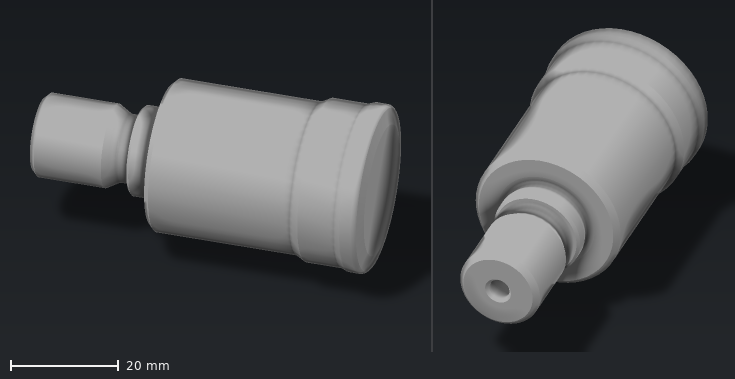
import cadquery as cq
import math

shank_end = 14.0
neck_end = 18.0
collar_end = 21.7
relief_start = 22.75
relief_bend = 23.5
body_start = 23.9
body_end = 52.2
sleeve_start = 54.05
sleeve_end = 60.95
rim_start = 62.3
rim_round_start = 64.2
cap_start = 65.3
overall_length = 66.0

shank_radius = 16.0 / 2
neck_radius = 13.0 / 2
collar_radius = 17.2 / 2
relief_radius = 16.6 / 2
relief_mouth_radius = 9.7
body_radius = 29.0 / 2
sleeve_radius = 31.0 / 2
rim_radius = 32.0 / 2
cap_radius = 15.45
end_face_radius = 12.4

end_chamfer = 1.05
collar_chamfer = 0.5
neck_round = 0.9
relief_round = 0.5
neck_blend = 0.7
relief_blend = 0.45
rim_blend = 0.5
rim_round_mid = (64.9, 15.85)

taper_angle = math.radians(30)
neck_start = shank_end + (shank_radius - neck_radius) / math.tan(taper_angle)

collar_start = neck_end + neck_round

relief_bottom = relief_bend + relief_round

hole_radius = 4.0 / 2
hole_mouth_radius = 2.6
hole_mouth_depth = 0.65
hole_depth = 3.3
hole_tip_depth = 1.2


def quarter_round_mid(start_x, start_radius, size):
    """Midpoint of a concave round that turns from axial to radially outward."""
    along = size * math.sin(math.radians(45))
    return (start_x + along, start_radius + size - along)


def revolve_about_x(outline):
    return outline.close().revolve(360, (0, 0, 0), (1, 0, 0))


def blend_edge(body, x, radius, size):
    """Round the circular edge lying at the given station and radius."""
    reach = 0.005
    edge = cq.selectors.BoxSelector(
        (x - reach, -radius - 0.65, -radius - 0.65),
        (x + reach, radius + 0.65, radius + 0.65),
        boundingbox=True,
    )
    return body.edges(edge).fillet(size)


outline = (
    cq.Workplane("XY")
    .lineTo(0, shank_radius - end_chamfer)
    .lineTo(end_chamfer, shank_radius)
    .lineTo(shank_end, shank_radius)
    .lineTo(neck_start, neck_radius)
    .lineTo(neck_end, neck_radius)
    .threePointArc(
        quarter_round_mid(neck_end, neck_radius, neck_round),
        (collar_start, neck_radius + neck_round),
    )
    .lineTo(collar_start, collar_radius - collar_chamfer)
    .lineTo(collar_start + collar_chamfer, collar_radius)
    .lineTo(collar_end, collar_radius)
    .lineTo(relief_start, relief_radius)
    .lineTo(relief_bend, relief_radius)
    .threePointArc(
        quarter_round_mid(relief_bend, relief_radius, relief_round),
        (relief_bottom, relief_radius + relief_round),
    )
    .lineTo(body_start, relief_mouth_radius)
    .lineTo(body_start, body_radius - end_chamfer)
    .lineTo(body_start + end_chamfer, body_radius)
    .lineTo(body_end, body_radius)
    .lineTo(sleeve_start, sleeve_radius)
    .lineTo(sleeve_end, sleeve_radius)
    .lineTo(rim_start, rim_radius)
    .lineTo(rim_round_start, rim_radius)
    .threePointArc(rim_round_mid, (cap_start, cap_radius))
    .lineTo(overall_length, end_face_radius)
    .lineTo(overall_length, 0)
)
part = revolve_about_x(outline)

part = blend_edge(part, neck_start, neck_radius, neck_blend)
part = blend_edge(part, relief_start, relief_radius, relief_blend)
part = blend_edge(part, rim_start, rim_radius, rim_blend)

hole_outline = (
    cq.Workplane("XY")
    .lineTo(0, hole_mouth_radius)
    .lineTo(hole_mouth_depth, hole_radius)
    .lineTo(hole_depth, hole_radius)
    .lineTo(hole_depth + hole_tip_depth, 0)
)
result = part.cut(revolve_about_x(hole_outline))